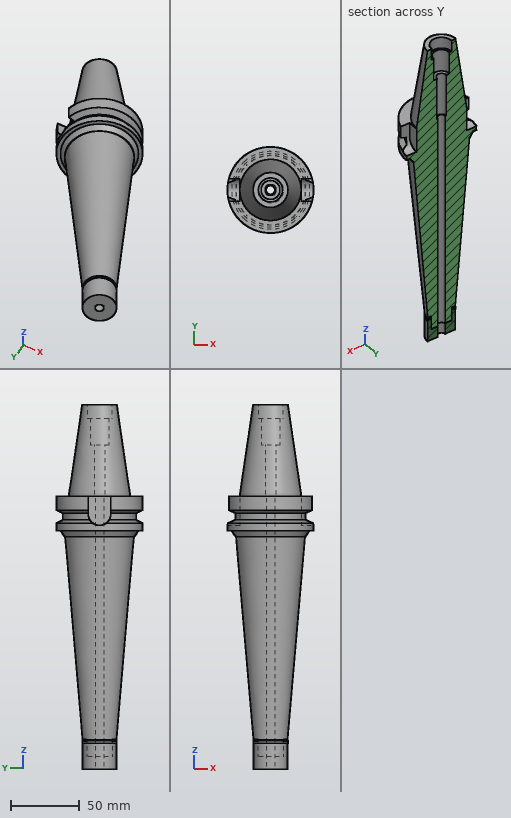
import cadquery as cq

total_height = 265.5
nut_height = 19.0
ring_height = 1.5
ring_gap = 0.8
nose_engagement = 9.5

ring_top_z = nut_height + ring_height
shank_bottom_z = ring_top_z + ring_gap
nose_bottom_z = nut_height - nose_engagement

nut_radius = 12.5
ring_radius = 12.7
nose_radius = 9.3

shank_bottom_radius = 12.5
shank_top_radius = 25.2
shank_top_z = 169.3

flange_diameter = 63.0
flange_radius = flange_diameter / 2
flange_top_z = 198.8
upper_rim_bottom_z = 188.7
lower_rim_top_z = 179.1
lower_rim_bottom_z = 173.5
groove_radius = 26.8
groove_flank_height = 2.5
flange_cone_radius = 28.5
flange_cone_foot_radius = 25.5

taper_base_radius = 22.3
taper_base_z = 200.6
taper_top_radius = 12.7

slot_width = 16.5
slot_depth = 21.2
slot_floor_distance = 22.5

pilot_radius = 8.8
pilot_depth = 9.8
thread_radius = 7.0
thread_depth = 29.2
rear_bore_radius = 4.0
rear_bore_depth = 66.4
through_bore_radius = 3.2


def bore_from_top(radius, depth):
    """Cylinder reaching down from the top face along the axis."""
    return cq.Workplane("XY").workplane(offset=total_height - depth).circle(radius).extrude(depth)


def make_holder_blank():
    """Solid of revolution: nose, shank, flange and spindle taper."""
    profile = [
        (0, nose_bottom_z),
        (nose_radius, nose_bottom_z),
        (nose_radius, shank_bottom_z),
        (shank_bottom_radius, shank_bottom_z),
        (shank_top_radius, shank_top_z),
        (flange_cone_foot_radius, shank_top_z),
        (flange_cone_radius, lower_rim_bottom_z),
        (flange_radius, lower_rim_bottom_z),
        (flange_radius, lower_rim_top_z),
        (groove_radius, lower_rim_top_z + groove_flank_height),
        (groove_radius, upper_rim_bottom_z - groove_flank_height),
        (flange_radius, upper_rim_bottom_z),
        (flange_radius, flange_top_z),
        (taper_base_radius, flange_top_z),
        (taper_base_radius, taper_base_z),
        (taper_top_radius, total_height),
        (0, total_height),
    ]
    return cq.Workplane("XZ").polyline(profile).close().revolve(360, (0, 0, 0), (0, 1, 0))


def make_drive_slot(side):
    """Round-ended slot on the +X (side = 1) or -X (side = -1) flank of the flange."""
    half_width = slot_width / 2
    bottom_z = flange_top_z - slot_depth
    arc_center_z = bottom_z + half_width
    return (
        cq.Workplane("YZ", origin=(side * slot_floor_distance, 0, 0))
        .moveTo(-half_width, flange_top_z)
        .lineTo(-half_width, arc_center_z)
        .threePointArc((0, bottom_z), (half_width, arc_center_z))
        .lineTo(half_width, flange_top_z)
        .close()
        .extrude(side * (flange_radius - slot_floor_distance + 2.7))
    )


def make_holder():
    """Tool holder with its drive slots and stepped bore."""
    holder = make_holder_blank()
    for side in (-1, 1):
        holder = holder.cut(make_drive_slot(side))
    bore_steps = [
        (pilot_radius, pilot_depth),
        (thread_radius, thread_depth),
        (rear_bore_radius, rear_bore_depth),
        (through_bore_radius, total_height),
    ]
    for radius, depth in bore_steps:
        holder = holder.cut(bore_from_top(radius, depth))
    return holder


def make_ring():
    """Thin ring around the nose, resting on the nut."""
    return (
        cq.Workplane("XY")
        .workplane(offset=nut_height)
        .circle(ring_radius)
        .circle(nose_radius)
        .extrude(ring_height)
    )


def make_nut():
    """Nut with a recess for the nose and a through bore for the tool."""
    nut = cq.Workplane("XY").circle(nut_radius).circle(through_bore_radius).extrude(nut_height)
    nose_recess = (
        cq.Workplane("XY")
        .workplane(offset=nose_bottom_z)
        .circle(nose_radius)
        .extrude(nose_engagement)
    )
    return nut.cut(nose_recess)


holder = make_holder()
ring = make_ring()
nut = make_nut()

result = cq.Compound.makeCompound([holder.val(), ring.val(), nut.val()])